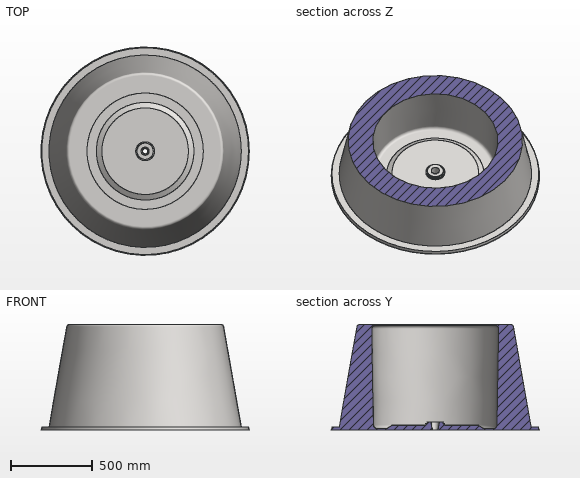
import cadquery as cq
import math

height = 650.0
flange_radius = 640.0
flange_top_radius = 635.0
flange_thickness = 20.0
body_foot_radius = 591.0
outer_draft_angle = 10.0
shoulder_fillet = 18.0

opening_radius = 715.0 / 2
lip_thickness = 8.0
floor_thickness = 10.0
cavity_floor_radius = 378.0
cavity_draft_angle = 1.0
cavity_fillet = 20.0

dais_foot_radius = 300.0
dais_top_radius = 266.0
dais_height = 20.0

lower_boss_radius = 58.0
upper_boss_radius = 50.0
boss_step_height = 10.0
drain_mouth_radius = 25.0
drain_outlet_radius = 16.0

dais_top_z = floor_thickness + dais_height
lower_boss_top_z = dais_top_z + boss_step_height
drain_mouth_z = lower_boss_top_z + boss_step_height


def frustum(bottom_radius, top_radius, bottom_z, top_z):
    """Solid with straight sloping sides, centred on the Z axis."""
    profile = [
        (0, bottom_z),
        (bottom_radius, bottom_z),
        (top_radius, top_z),
        (0, top_z),
    ]
    return cq.Workplane("XZ").polyline(profile).close().revolve(360, (0, 0, 0), (0, 1, 0))


def disc(radius, bottom_z, top_z):
    """Upright cylinder centred on the Z axis."""
    return cq.Workplane("XY").workplane(offset=bottom_z).circle(radius).extrude(top_z - bottom_z)


def lean(rise, angle):
    """Sideways run of a face that leans from the vertical by the given angle."""
    return rise * math.tan(math.radians(angle))


def outer_body():
    """Tapered body with a rounded shoulder, standing on a wider flange."""
    flange = frustum(flange_radius, flange_top_radius, 0, flange_thickness)
    body_top_radius = body_foot_radius - lean(height - flange_thickness, outer_draft_angle)
    body = frustum(body_foot_radius, body_top_radius, flange_thickness, height)
    body = body.faces(">Z").edges().fillet(shoulder_fillet)
    return flange.union(body)


def pot_cavity():
    """Cavity widening slightly upwards with rounded ends, and the narrower opening above it."""
    cavity_top_z = height - lip_thickness
    cavity_top_radius = cavity_floor_radius + lean(cavity_top_z - floor_thickness, cavity_draft_angle)
    cavity = frustum(cavity_floor_radius, cavity_top_radius, floor_thickness, cavity_top_z)
    cavity = cavity.faces("<Z or >Z").edges().fillet(cavity_fillet)
    opening = disc(opening_radius, cavity_top_z, height)
    return cavity.union(opening)


def raised_floor():
    """Sloping-edged dais carrying the stepped drain boss."""
    dais = frustum(dais_foot_radius, dais_top_radius, floor_thickness, dais_top_z)
    lower_boss = disc(lower_boss_radius, dais_top_z, lower_boss_top_z)
    upper_boss = disc(upper_boss_radius, lower_boss_top_z, drain_mouth_z)
    return dais.union(lower_boss).union(upper_boss)


drain_hole = frustum(drain_outlet_radius, drain_mouth_radius, 0, drain_mouth_z)

result = outer_body().cut(pot_cavity()).union(raised_floor()).cut(drain_hole)